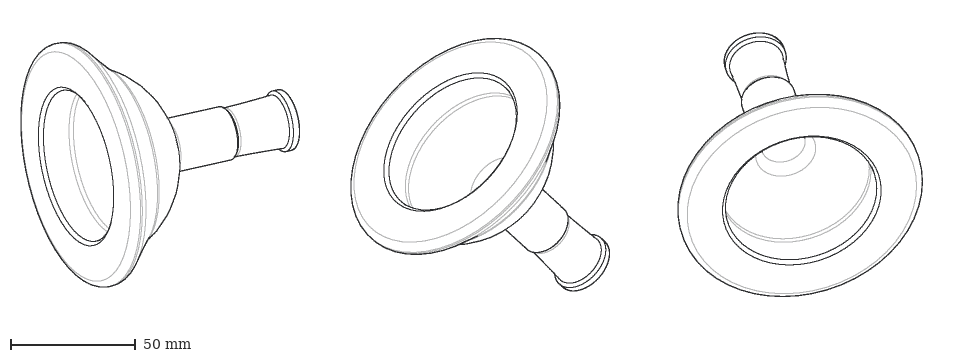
import cadquery as cq
import math

total_height = 95.0

rim_radius = 50.0
rim_round = 3.0
rim_band = 0.8
cone_angle = math.radians(45)

dome_center = 0.8
dome_radius = 41.0
dome_inner_radius = 33.8
dome_foot_height = 18.2
cone_top_height = 16.9

neck_radius = 11.0
neck_fillet = 2.0
shoulder_height = 67.5
shoulder_chamfer = 0.9
waist_bottom = 69.5
waist_radius = 10.1
waist_bow = 0.1
lip_radius = 12.5
lip_height = 92.0
lip_underside_height = 91.0
lip_chamfer = 0.3

mouth_radius = 31.0
mouth_chamfer = 1.5
mouth_wall_top = 13.1
cavity_dome_radius = 30.7
bore_radius = 9.0
waist_bore_radius = 8.1
throat_radius = 12.3
throat_length = 5.0


def sphere_height(sphere_radius, radius):
    """Height of a dome sphere at a distance from the axis."""
    return dome_center + math.sqrt(sphere_radius**2 - radius**2)


def sphere_mid_point(sphere_radius, start_radius, end_radius):
    """A point on a dome sphere between two distances from the axis."""
    radius = (start_radius + end_radius) / 2
    return radius, sphere_height(sphere_radius, radius)


def revolve(profile):
    return profile.close().revolve(360, (0, 0, 0), (0, 1, 0))


def outer_body():
    round_center_radius = rim_radius - rim_round
    upper_round_center = rim_round + rim_band
    cone_foot_radius = round_center_radius + rim_round * math.sin(cone_angle)
    cone_foot_height = upper_round_center + rim_round * math.cos(cone_angle)
    cone_top_radius = cone_foot_radius - (cone_top_height - cone_foot_height) / math.tan(cone_angle)
    dome_foot_radius = math.sqrt(dome_radius**2 - (dome_foot_height - dome_center)**2)
    fillet_center_radius = neck_radius + neck_fillet
    neck_fillet_top = sphere_height(dome_radius + neck_fillet, fillet_center_radius)
    dome_top_radius = fillet_center_radius * dome_radius / (dome_radius + neck_fillet)
    waist_mid_point = (
        (waist_radius + neck_radius) / 2 - waist_bow,
        (waist_bottom + lip_underside_height) / 2,
    )
    chamfer_top = shoulder_height + shoulder_chamfer

    return revolve(
        cq.Workplane("XY")
        .lineTo(round_center_radius, 0)
        .tangentArcPoint((rim_radius, rim_round), relative=False)
        .lineTo(rim_radius, upper_round_center)
        .tangentArcPoint((cone_foot_radius, cone_foot_height), relative=False)
        .lineTo(cone_top_radius, cone_top_height)
        .lineTo(dome_foot_radius, dome_foot_height)
        .threePointArc(
            sphere_mid_point(dome_radius, dome_foot_radius, dome_top_radius),
            (dome_top_radius, sphere_height(dome_radius, dome_top_radius)),
        )
        .radiusArc((neck_radius, neck_fillet_top), neck_fillet)
        .lineTo(neck_radius, shoulder_height)
        .lineTo(waist_radius, chamfer_top)
        .lineTo(waist_radius, waist_bottom)
        .threePointArc(waist_mid_point, (neck_radius, lip_underside_height))
        .lineTo(lip_radius, lip_height)
        .lineTo(lip_radius, total_height - lip_chamfer)
        .lineTo(lip_radius - lip_chamfer, total_height)
        .lineTo(0, total_height)
    )


def cavity():
    cavity_dome_height = sphere_height(dome_inner_radius, cavity_dome_radius)
    throat_height = sphere_height(dome_inner_radius, throat_radius)
    throat_top = throat_height + throat_length

    return revolve(
        cq.Workplane("XY")
        .lineTo(mouth_radius + mouth_chamfer, 0)
        .lineTo(mouth_radius, mouth_chamfer)
        .lineTo(mouth_radius, mouth_wall_top)
        .tangentArcPoint((cavity_dome_radius, cavity_dome_height), relative=False)
        .threePointArc(
            sphere_mid_point(dome_inner_radius, cavity_dome_radius, throat_radius),
            (throat_radius, throat_height),
        )
        .tangentArcPoint((bore_radius, throat_top), relative=False)
        .lineTo(bore_radius, shoulder_height)
        .lineTo(waist_bore_radius, waist_bottom)
        .lineTo(bore_radius, total_height)
        .lineTo(0, total_height)
    )


result = outer_body().cut(cavity())